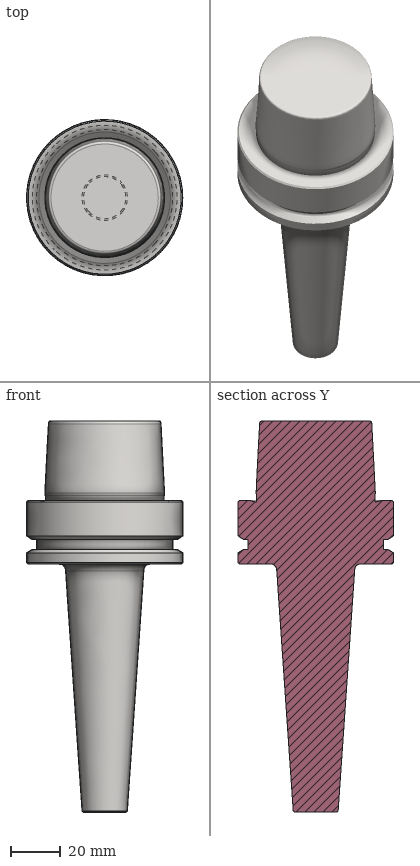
import cadquery as cq

height = 157.9

flange_radius = 31.5
flange_bottom = 100.1
flange_top = 125.8
flange_edge = 0.6
groove_radius = 27.5
groove_rim_radius = 29.2
groove_rim_drop = 1.5
groove_bottom = 106.1
groove_top = 110.0

tip_radius = 9.2
tip_edge = 0.6
shank_top_radius = 15.8
fillet_height = 2.8
fillet_reach = 2.5

spigot_top_radius = 22.7
spigot_edge_width = 1.1
spigot_edge_height = 1.3
spigot_base_radius = 24.2
spigot_base = 128.8
collar_radius = 24.0
collar_top = 127.7

relief_radius = 26.5
relief_depth = 0.6

profile = (
    cq.Workplane("XZ")
    .lineTo(tip_radius - tip_edge, 0)
    .lineTo(tip_radius, tip_edge)
    .lineTo(shank_top_radius, flange_bottom - fillet_height)
    .spline(
        [(shank_top_radius + fillet_reach, flange_bottom)],
        tangents=[(0, 1), (1, 0)],
        includeCurrent=True,
    )
    .lineTo(flange_radius - flange_edge, flange_bottom)
    .lineTo(flange_radius, flange_bottom + flange_edge)
    .lineTo(flange_radius, groove_bottom - groove_rim_drop)
    .lineTo(groove_rim_radius, groove_bottom)
    .lineTo(groove_radius, groove_bottom)
    .lineTo(groove_radius, groove_top)
    .lineTo(groove_rim_radius, groove_top)
    .lineTo(flange_radius, groove_top + groove_rim_drop)
    .lineTo(flange_radius, flange_top - flange_edge)
    .lineTo(flange_radius - flange_edge, flange_top)
    .lineTo(relief_radius, flange_top)
    .lineTo(collar_radius, flange_top - relief_depth)
    .lineTo(collar_radius, collar_top)
    .lineTo(spigot_base_radius, spigot_base)
    .lineTo(spigot_top_radius, height - spigot_edge_height)
    .spline(
        [(spigot_top_radius - spigot_edge_width, height)],
        tangents=[(0, 1), (-1, 0)],
        includeCurrent=True,
    )
    .lineTo(0, height)
    .close()
)

result = profile.revolve(360, (0, 0, 0), (0, 1, 0))